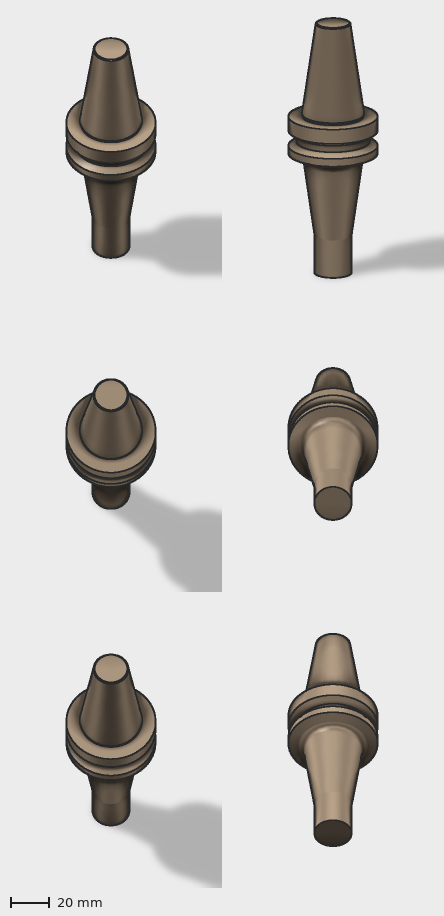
import cadquery as cq
import math

total_length = 134.4
nose_top = 20.3
flange_bottom = 64.2
groove_lower_edge = 68.4
groove_upper_edge = 76.5
flange_top = 84.1
neck_top = 85.1
shank_bottom = 85.5

nose_diameter = 19.2
flange_diameter = 46.0
groove_diameter = 38.0
neck_diameter = 31.3
shank_diameter = 32.1

shank_taper_ratio = 7 / 24
nose_taper_angle = 8.0
groove_wall_angle = 30.0
flange_underside_angle = 20.0
underside_fillet = 4.3
shank_end_chamfer = 0.5
corner_search_margin = 1.3

nose_radius = nose_diameter / 2
flange_radius = flange_diameter / 2
groove_radius = groove_diameter / 2
neck_radius = neck_diameter / 2
shank_radius = shank_diameter / 2
shank_slope = shank_taper_ratio / 2
nose_slope = math.tan(math.radians(nose_taper_angle))

shank_end_radius = shank_radius - (total_length - shank_bottom) * shank_slope
groove_wall_height = (flange_radius - groove_radius) * math.tan(math.radians(groove_wall_angle))

underside_slope = math.tan(math.radians(flange_underside_angle))
rise_without_slope = flange_bottom - nose_top - (flange_radius - nose_radius) * underside_slope
taper_rise = rise_without_slope / (1 - nose_slope * underside_slope)
corner_radius = nose_radius + taper_rise * nose_slope
corner_height = nose_top + taper_rise

profile = [
    (0, 0),
    (nose_radius, 0),
    (nose_radius, nose_top),
    (corner_radius, corner_height),
    (flange_radius, flange_bottom),
    (flange_radius, groove_lower_edge),
    (groove_radius, groove_lower_edge + groove_wall_height),
    (groove_radius, groove_upper_edge - groove_wall_height),
    (flange_radius, groove_upper_edge),
    (flange_radius, flange_top),
    (neck_radius, flange_top),
    (neck_radius, neck_top),
    (shank_radius, shank_bottom),
    (shank_end_radius, total_length),
    (0, total_length),
]
body = cq.Workplane("XZ").polyline(profile).close().revolve(360, (0, 0, 0), (0, 1, 0))

corner_edge = cq.selectors.BoxSelector(
    (-flange_radius, -flange_radius, corner_height - corner_search_margin),
    (flange_radius, flange_radius, corner_height + corner_search_margin),
    boundingbox=True,
)
body = body.edges(corner_edge).fillet(underside_fillet)

result = body.faces(">Z").edges().chamfer(shank_end_chamfer)